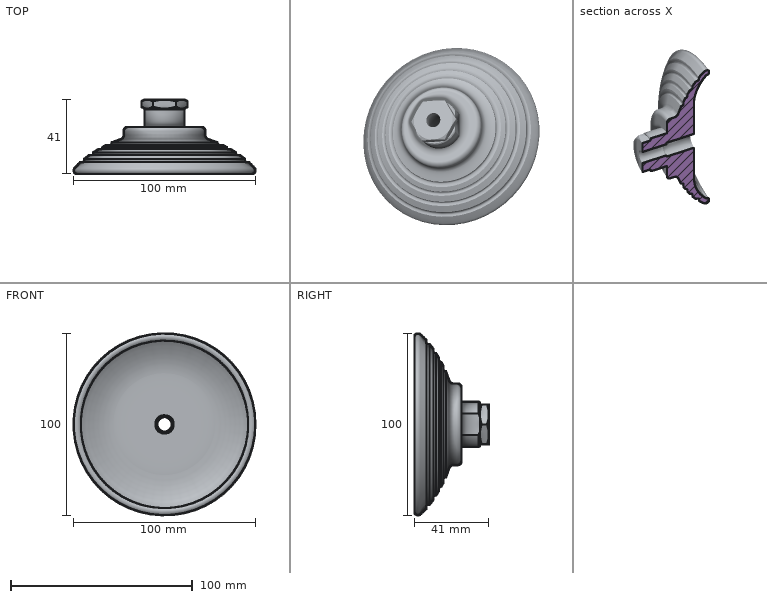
import cadquery as cq
import math

total_height = 41.0
rim_face_y = -total_height / 2

cup_radius = 50.0
rim_round = 2.0
cup_height = 26.0
neck_radius = 22.5
neck_top_round = 2.4
neck_fillet_start = 21.6
neck_fillet_mid = (22.9, 20.1)
neck_fillet_end = (23.9, 19.3)
inner_disc_radius = 28.0
inner_disc_height = 9.3

steps = [
    (58.5, 17.4, 16.1, 0.6, 31.9),
    (68.5, 14.8, 13.7, 0.9, 36.3),
    (78.5, 11.9, 10.6, 0.5, 41.3),
    (88.5, 8.3, 6.6, 0.8, 46.4),
]

hex_across_flats = 22.0
hex_thickness = 5.0
hex_chamfer_angle = 30.0
body_diameter = 25.0
body_flat_width = 22.0
body_chamfer = 0.6
through_hole_diameter = 8.0
cup_hole_diameter = 10.0
countersink_diameter = 9.0

hex_base = total_height - hex_thickness


def round_mid(center, radius, angle):
    """Point on a circle at the given angle in degrees."""
    a = math.radians(angle)
    return (center[0] + radius * math.cos(a), center[1] + radius * math.sin(a))


def revolve(profile):
    """Revolve a closed radius/height profile about the Y axis."""
    return profile.close().revolve(360, (0, 0, 0), (0, 1, 0))


def cylinder(diameter, start, end):
    """Cylinder on the Y axis between two heights."""
    plane = cq.Workplane("XZ", origin=(0, start, 0))
    return plane.circle(diameter / 2).extrude(start - end)


def make_cup():
    rim_center = (cup_radius - rim_round, rim_round)
    top_center = (neck_radius - neck_top_round, cup_height - neck_top_round)

    profile = (
        cq.Workplane("XY")
        .moveTo(0, inner_disc_height)
        .lineTo(0, cup_height)
        .lineTo(top_center[0], cup_height)
        .threePointArc(round_mid(top_center, neck_top_round, 45), (neck_radius, top_center[1]))
        .lineTo(neck_radius, neck_fillet_start)
        .threePointArc(neck_fillet_mid, neck_fillet_end)
    )
    for crest_diameter, crest, ledge, root_fillet, ledge_radius in steps:
        wall = crest_diameter / 2
        fillet_center = (wall + root_fillet, ledge + root_fillet)
        profile = (
            profile.lineTo(wall, crest)
            .lineTo(wall, fillet_center[1])
            .threePointArc(round_mid(fillet_center, root_fillet, 225), (fillet_center[0], ledge))
            .lineTo(ledge_radius, ledge)
        )

    rim_inner = (rim_center[0] - rim_round, rim_round)
    bowl_span = rim_inner[0] - inner_disc_radius
    bowl_drop = inner_disc_height - rim_inner[1]
    bowl_radius = (bowl_span**2 + bowl_drop**2) / (2 * bowl_drop)
    bowl_center = (inner_disc_radius, inner_disc_height - bowl_radius)
    bowl_sweep = math.degrees(math.atan2(bowl_span, bowl_radius - bowl_drop))
    profile = (
        profile.lineTo(*round_mid(rim_center, rim_round, 45))
        .threePointArc(round_mid(rim_center, rim_round, -67.5), rim_inner)
        .threePointArc(
            round_mid(bowl_center, bowl_radius, 90 - bowl_sweep / 2),
            (inner_disc_radius, inner_disc_height),
        )
    )
    return revolve(profile)


def make_body():
    body = cylinder(body_diameter, cup_height, hex_base).faces(">Y").chamfer(body_chamfer)
    flats = cq.Workplane("XY").box(body_flat_width, 2 * total_height, body_diameter)
    return body.intersect(flats)


def make_hex():
    corner_diameter = hex_across_flats / math.cos(math.radians(30))
    prism = (
        cq.Workplane("XZ", origin=(0, hex_base, 0))
        .polygon(6, corner_diameter)
        .extrude(-hex_thickness)
    )
    flat_radius = hex_across_flats / 2
    double_cone = (
        cq.Workplane("XY")
        .moveTo(0, hex_base)
        .lineTo(flat_radius, hex_base)
        .lineTo(
            flat_radius + hex_thickness / 2 / math.tan(math.radians(hex_chamfer_angle)),
            hex_base + hex_thickness / 2,
        )
        .lineTo(flat_radius, total_height)
        .lineTo(0, total_height)
    )
    return prism.intersect(revolve(double_cone))


def make_bore():
    """Through hole, widened in the cup and countersunk where it enters the fitting."""
    through_radius = through_hole_diameter / 2
    cup_hole_radius = cup_hole_diameter / 2
    countersink_radius = countersink_diameter / 2
    countersink_depth = countersink_radius - through_radius
    profile = (
        cq.Workplane("XY")
        .lineTo(cup_hole_radius, 0)
        .lineTo(cup_hole_radius, cup_height)
        .lineTo(countersink_radius, cup_height)
        .lineTo(through_radius, cup_height + countersink_depth)
        .lineTo(through_radius, total_height)
        .lineTo(0, total_height)
    )
    return revolve(profile)


part = make_cup().union(make_body()).union(make_hex())
part = part.cut(make_bore())
result = part.translate((0, rim_face_y, 0))